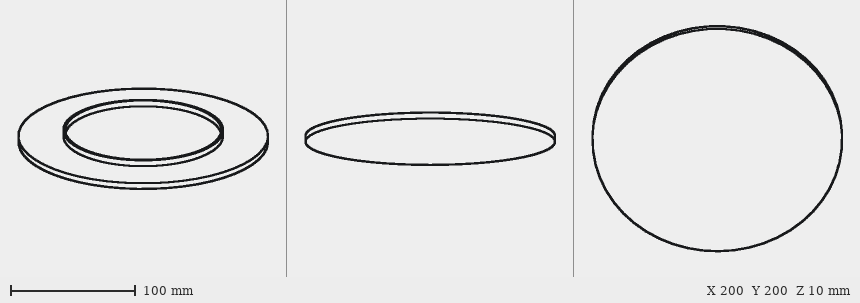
import cadquery as cq

disc_diameter = 200.0
disc_thickness = 5.0
ring_outer_diameter = 128.0
ring_inner_diameter = 125.0
ring_height = 5.0

disc = cq.Workplane("XY").circle(disc_diameter / 2).extrude(disc_thickness)

ring = (
    cq.Workplane("XY")
    .workplane(offset=disc_thickness)
    .circle(ring_outer_diameter / 2)
    .circle(ring_inner_diameter / 2)
    .extrude(ring_height)
)

result = disc.union(ring)